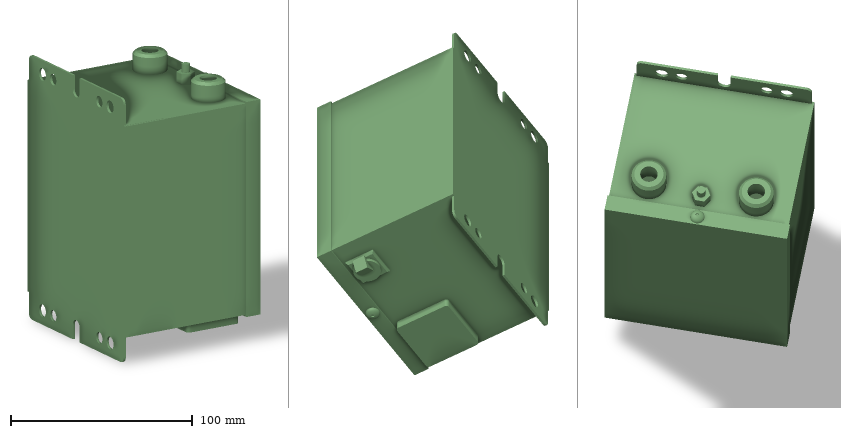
import cadquery as cq
import math

plate_height = 152.4
plate_width = 97.8
plate_thickness = 1.4
plate_corner_radius = 3.4
mid_z = plate_height / 2

body_width = 100.6
body_height = 121.9
body_bottom = mid_z - body_height / 2
body_top = mid_z + body_height / 2

lid_width = 102.1
lid_height = 124.0
lid_thickness = 9.1
total_depth = 87.6
body_depth = total_depth - lid_thickness

hole_edge_distance = 8.1
outer_hole_diameter = 7.2
outer_hole_x = 34.9
inner_hole_diameter = 6.4
inner_hole_x = 23.8
slot_width = 7.2
slot_depth = 11.9

relief_width = 1.2
relief_depth = 0.2
relief_end_y = 25.6

gland_x = 30.0
gland_y = 66.9
gland_diameter = 19.0
gland_height = 11.3
gland_bore = 9.6
gland_chamfer = 1.5

stud_y = 71.2
stud_diameter = 4.5
stud_height = 11.0
nut_across_flats = 8.8
nut_height = 6.2

screw_radius = 4.0
screw_head_height = 2.5
screw_socket_diameter = 2.0
screw_socket_depth = 0.9

inlet_size = 33.5
inlet_height = 5.5
inlet_corner_radius = 1.8
inlet_y = 59.7

switch_y = 68.1
bezel_y = 67.7
bezel_size = 17.7
bezel_height = 2.1
bezel_chamfer = 1.0
collar_diameter = 15.2
collar_height = 4.0
lever_size = 7.3
lever_tilt = 30.0
lever_tip_x = -35.7
lever_tip_drop = 8.5


def mounting_plate():
    plate = (
        cq.Workplane("XY")
        .box(plate_width, plate_thickness, plate_height, centered=(True, False, False))
        .edges("|Y")
        .fillet(plate_corner_radius)
    )
    hole_z = mid_z - hole_edge_distance
    for x, diameter in ((outer_hole_x, outer_hole_diameter), (inner_hole_x, inner_hole_diameter)):
        centers = [(sx * x, mid_z + sz * hole_z) for sx in (-1, 1) for sz in (-1, 1)]
        holes = (
            cq.Workplane("XZ")
            .pushPoints(centers)
            .circle(diameter / 2)
            .extrude(-plate_thickness)
        )
        plate = plate.cut(holes)
    slots = (
        cq.Workplane("XZ")
        .pushPoints([(0, 0), (0, plate_height)])
        .slot2D(2 * slot_depth, slot_width, 90)
        .extrude(-plate_thickness)
    )
    return plate.cut(slots)


def box_with_lid():
    body = cq.Workplane("XY").box(body_width, body_depth, body_height, centered=(True, False, True))
    relief = (
        cq.Workplane("XY")
        .box(relief_width, relief_end_y - plate_thickness, relief_depth, centered=False)
        .translate((body_width / 2 - relief_width, plate_thickness, body_height / 2 - relief_depth))
    )
    lid = (
        cq.Workplane("XY")
        .box(lid_width, lid_thickness, lid_height, centered=(True, False, True))
        .translate((0, body_depth, 0))
    )
    return body.cut(relief).union(lid).translate((0, 0, mid_z))


def cable_gland(x):
    gland = (
        cq.Workplane("XY", origin=(x, gland_y, body_top))
        .circle(gland_diameter / 2)
        .extrude(gland_height)
        .faces(">Z")
        .edges()
        .chamfer(gland_chamfer)
    )
    bore = cq.Workplane("XY", origin=(x, gland_y, body_top)).circle(gland_bore / 2).extrude(gland_height)
    return gland.cut(bore)


def ground_stud():
    base = cq.Workplane("XY", origin=(0, stud_y, body_top))
    across_corners = nut_across_flats / math.cos(math.pi / 6)
    nut = base.polygon(6, across_corners).extrude(nut_height)
    return nut.union(base.circle(stud_diameter / 2).extrude(stud_height))


def screw_head():
    dome = (
        cq.Workplane("XZ")
        .lineTo(screw_radius, 0)
        .ellipseArc(screw_radius, screw_head_height, 0, 90)
        .close()
        .revolve(360, (0, 0), (0, 1))
    )
    socket = (
        cq.Workplane("XY", origin=(0, 0, screw_head_height - screw_socket_depth))
        .circle(screw_socket_diameter / 2)
        .extrude(screw_socket_depth)
    )
    return dome.cut(socket)


def lid_screws():
    upper = screw_head().translate((0, total_depth - lid_thickness / 2, mid_z + lid_height / 2))
    lower = upper.mirror("XY", (0, 0, mid_z))
    return upper, lower


def power_inlet():
    return (
        cq.Workplane("XY", origin=(gland_x, inlet_y, body_bottom))
        .rect(inlet_size, inlet_size)
        .extrude(-inlet_height)
        .edges("|Z")
        .fillet(inlet_corner_radius)
    )


def power_switch():
    bezel = (
        cq.Workplane("XY", origin=(-gland_x, bezel_y, body_bottom))
        .rect(bezel_size, bezel_size)
        .extrude(-bezel_height)
        .faces("<Z")
        .edges()
        .chamfer(bezel_chamfer)
    )
    collar = (
        cq.Workplane("XY", origin=(-gland_x, switch_y, body_bottom))
        .circle(collar_diameter / 2)
        .extrude(-collar_height)
    )
    lever = (
        cq.Workplane("XY")
        .box(lever_size, lever_size, lever_size, centered=(False, True, False))
        .rotate((0, 0, 0), (0, 1, 0), -lever_tilt)
        .translate((lever_tip_x, switch_y, body_bottom - lever_tip_drop))
    )
    return bezel.union(collar).union(lever)


result = box_with_lid().union(mounting_plate())
for side in (-1, 1):
    result = result.union(cable_gland(side * gland_x))
result = result.union(ground_stud())
for screw in lid_screws():
    result = result.union(screw)
result = result.union(power_inlet()).union(power_switch())